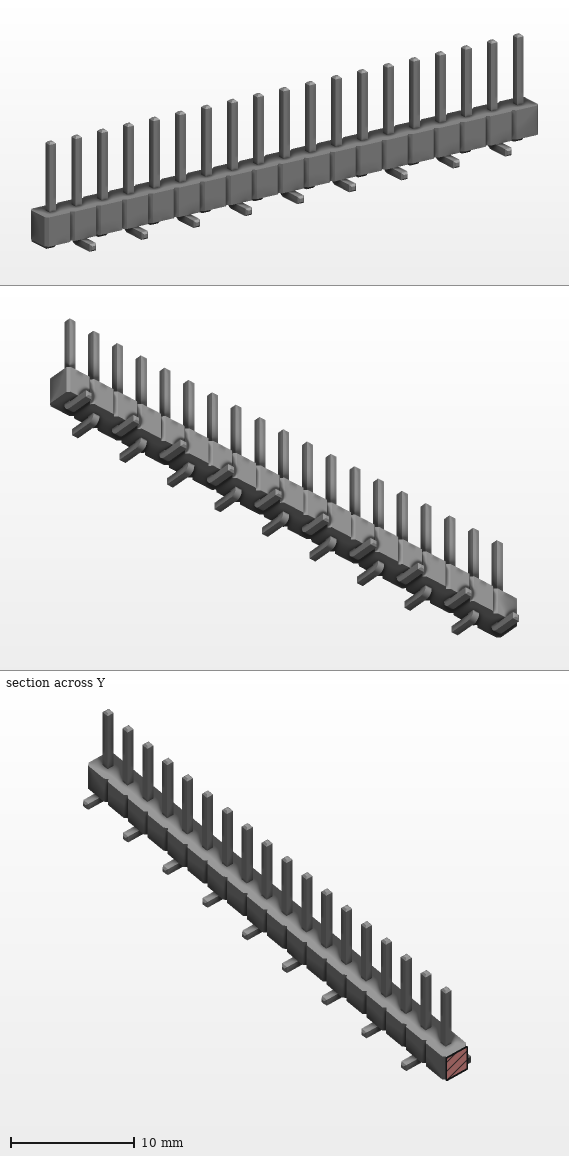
import cadquery as cq

pin_count = 19
pitch = 2.54
overall_width = 5.0
overall_height = 9.3

body_width = pitch
body_height = pitch
body_top = 3.3
body_bottom = body_top - body_height
corner_cut = pitch / 10

pin_size = 0.64
half_pin = pin_size / 2
tip_chamfer = pin_size / 4
bend_radius = pin_size
leg_reach = overall_width / 2


def pin_y(index):
    """Y position of a contact, with the row centred on the origin."""
    return (index - (pin_count - 1) / 2) * pitch


def body_segment(y):
    """One block of the body with its four upright edges chamfered."""
    return (
        cq.Workplane("XY")
        .box(body_width, pitch, body_height, centered=(True, True, False))
        .edges("|Z")
        .chamfer(corner_cut)
        .translate((0, y, body_bottom))
    )


def contact(y, side):
    """L-shaped contact; side is -1 or +1 for a leg towards -X or +X."""
    outline = [
        (-half_pin, overall_height),
        (-half_pin, 0),
        (leg_reach, 0),
        (leg_reach, pin_size),
        (half_pin, pin_size),
        (half_pin, overall_height),
    ]
    bent_wire = (
        cq.Workplane("XZ")
        .polyline(outline)
        .close()
        .extrude(half_pin, both=True)
    )
    bent_wire = bent_wire.edges("|Y").edges("<X").edges("<Z").fillet(bend_radius)
    bent_wire = bent_wire.faces(">Z").chamfer(tip_chamfer)
    bent_wire = bent_wire.faces(">X").chamfer(tip_chamfer)
    if side < 0:
        bent_wire = bent_wire.mirror("YZ")
    return bent_wire.translate((0, y, 0))


result = body_segment(pin_y(0))
for i in range(1, pin_count):
    result = result.union(body_segment(pin_y(i)))

for i in range(pin_count):
    leg_side = -1 if i % 2 == 0 else 1
    result = result.union(contact(pin_y(i), leg_side))